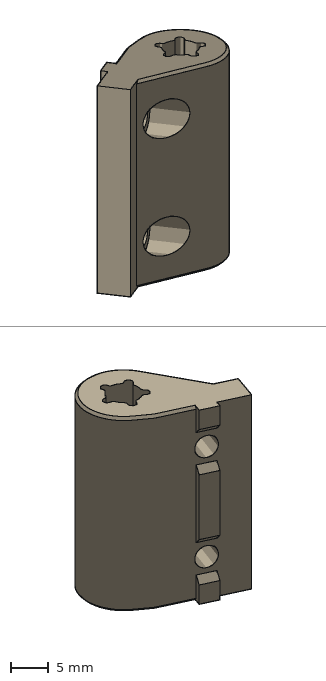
import cadquery as cq
import math

height = 30.0
total_length = 22.02
barrel_radius = 6.5
barrel_x = 7.0
barrel_y = total_length - barrel_radius
foot_thickness = 4.6
foot_side_length = 3.0
flat_face_end_y = 14.0
rim_chamfer = 0.4

key_height = 1.0
key_width = 3.0
key_y = 6.5
key_gap_at_base = 5.0
key_gap_at_crest = key_gap_at_base + 2 * key_height

screw_spacing = 17.0
screw_diameter = 3.4
screw_head_diameter = 5.5
screw_levels = [height / 2 - screw_spacing / 2, height / 2 + screw_spacing / 2]
counterbore_floor_x = foot_thickness
far_side_x = barrel_x + barrel_radius

lobe_count = 5
first_lobe_angle = 180
socket_depth = 10.0
socket_core_radius = 2.5
lobe_radius = 0.63
lobe_center_radius = 2.88
lobe_blend_radius = 0.5


def tangent_point(x, y, turn):
    """Touch point on the barrel of a line from (x, y); turn is +1 or -1 for the side touched."""
    dx = x - barrel_x
    dy = y - barrel_y
    half_angle = math.acos(barrel_radius / math.hypot(dx, dy))
    angle = math.atan2(dy, dx) + turn * half_angle
    return (
        barrel_x + barrel_radius * math.cos(angle),
        barrel_y + barrel_radius * math.sin(angle),
    )


def make_teardrop():
    """Barrel with its two tangent flanks, chamfered around both ends."""
    slope_touch = tangent_point(foot_thickness, foot_side_length, 1)
    flank_touch = tangent_point(0, flat_face_end_y, -1)
    outline = (
        cq.Workplane("XY")
        .moveTo(0, foot_side_length)
        .lineTo(foot_thickness, foot_side_length)
        .lineTo(*slope_touch)
        .threePointArc((barrel_x, total_length), flank_touch)
        .lineTo(0, flat_face_end_y)
        .close()
    )
    body = outline.extrude(height)
    return body.faces("<Z or >Z").chamfer(rim_chamfer)


def make_foot():
    """Plain foot, sharp-edged up to the far side of the key."""
    foot_length = key_y + key_width / 2
    return cq.Workplane("XY").box(foot_thickness, foot_length, height, centered=False)


def make_key():
    """Key along the full height with a sloping-ended gap at each screw."""
    key = (
        cq.Workplane("XY")
        .box(key_height, key_width, height, centered=False)
        .translate((-key_height, key_y - key_width / 2, 0))
    )
    for level in screw_levels:
        gap = (
            cq.Workplane("XZ", origin=(0, key_y, 0))
            .moveTo(0, level - key_gap_at_base / 2)
            .lineTo(-key_height, level - key_gap_at_crest / 2)
            .lineTo(-key_height, level + key_gap_at_crest / 2)
            .lineTo(0, level + key_gap_at_base / 2)
            .close()
            .extrude(key_width, both=True)
        )
        key = key.cut(gap)
    return key


def make_screw_hole(level):
    """Clearance hole through the foot and a head counterbore open to the sloping side."""
    axis_start = cq.Workplane("YZ", origin=(0, key_y, level))
    clearance = axis_start.circle(screw_diameter / 2).extrude(far_side_x)
    head = (
        axis_start.workplane(offset=counterbore_floor_x)
        .circle(screw_head_diameter / 2)
        .extrude(far_side_x - counterbore_floor_x)
    )
    return clearance.union(head)


def make_socket():
    """Round core with evenly spaced round lobes and blended lobe roots, one lobe toward -X."""
    floor_z = height - socket_depth
    core = cq.Workplane("XY").circle(socket_core_radius).extrude(socket_depth)
    lobes = (
        cq.Workplane("XY")
        .polarArray(lobe_center_radius, first_lobe_angle, 360, lobe_count)
        .circle(lobe_radius)
        .extrude(socket_depth)
    )
    lobe_roots = cq.selectors.BoxSelector(
        (-lobe_center_radius, -lobe_center_radius, 0),
        (lobe_center_radius, lobe_center_radius, socket_depth),
    )
    socket = core.union(lobes).edges("|Z").edges(lobe_roots).fillet(lobe_blend_radius)
    return socket.translate((barrel_x, barrel_y, floor_z))


result = make_teardrop().union(make_foot()).union(make_key())
for screw_level in screw_levels:
    result = result.cut(make_screw_hole(screw_level))
result = result.cut(make_socket())